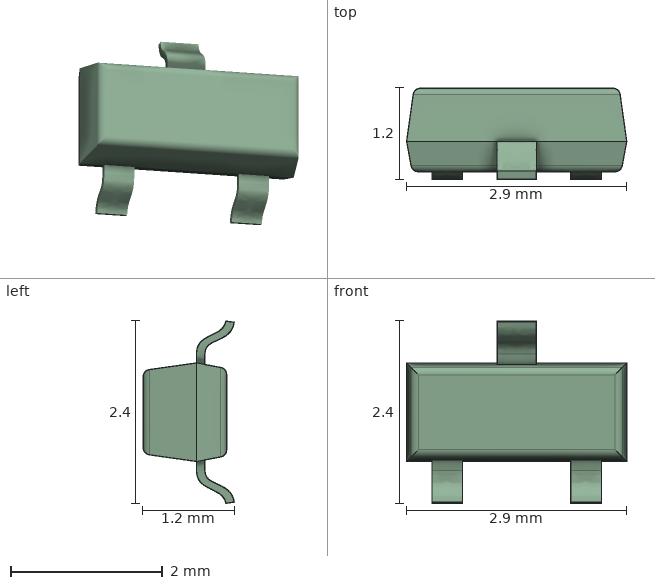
import cadquery as cq
import math

BODY_LENGTH = 2.9
BODY_HEIGHT = 1.3
BACK_DEPTH = 0.702
FRONT_DEPTH = 0.4
BACK_DRAFT = 8.0
FRONT_DRAFT = 10.5
EDGE_RADIUS = 0.102

LEAD_THICKNESS = 0.113
LEAD_REACH_Y = 0.5
LEAD_REACH_Z = 1.2
BEND_START_Z = 0.765
REAR_MIDDLE = (-0.21, 1.02)
FRONT_MIDDLE = (-0.295, 0.955)
TIP_TILT = 8.0
UPPER_LEAD_WIDTH = 0.515
LOWER_LEAD_WIDTH = 0.405
LOWER_LEAD_X = 0.914


def make_package():
    """Tapered package with rounded edges around its front and back faces."""
    front = cq.Workplane("XZ").rect(BODY_LENGTH, BODY_HEIGHT).extrude(FRONT_DEPTH, taper=FRONT_DRAFT)
    back = cq.Workplane("ZX").rect(BODY_HEIGHT, BODY_LENGTH).extrude(BACK_DEPTH, taper=BACK_DRAFT)
    package = front.union(back)
    return package.faces("<Y or >Y").edges().fillet(EDGE_RADIUS)


def make_upward_lead(width, center_x):
    """Lead rising from the package's top face, with its front and rear each one S-shaped curve."""
    tilt = math.radians(TIP_TILT)

    rear_start = (0, BEND_START_Z)
    front_start = (-LEAD_THICKNESS, BEND_START_Z)

    rear_tip = (LEAD_THICKNESS * math.cos(tilt) - LEAD_REACH_Y, LEAD_REACH_Z)
    front_tip = (-LEAD_REACH_Y, LEAD_REACH_Z - LEAD_THICKNESS * math.sin(tilt))
    up = (0, 1)
    down = (0, -1)
    tip_outward = (-math.sin(tilt), math.cos(tilt))
    tip_inward = (math.sin(tilt), -math.cos(tilt))

    root_z = BODY_HEIGHT / 2
    front_root_z = root_z - LEAD_THICKNESS * math.tan(math.radians(FRONT_DRAFT))

    return (
        cq.Workplane("YZ", origin=(center_x - width / 2, 0, 0))
        .moveTo(0, root_z)
        .lineTo(*rear_start)
        .spline([rear_start, REAR_MIDDLE, rear_tip], tangents=[up, tip_outward])
        .lineTo(*front_tip)
        .spline([front_tip, FRONT_MIDDLE, front_start], tangents=[tip_inward, down])
        .lineTo(-LEAD_THICKNESS, front_root_z)
        .close()
        .extrude(width)
    )


def make_downward_lead(width, center_x):
    """The same bent strip hanging from the package's bottom face."""
    return make_upward_lead(width, center_x).mirror("XY")


package = make_package()
upper_lead = make_upward_lead(UPPER_LEAD_WIDTH, 0)
lower_leads = [make_downward_lead(LOWER_LEAD_WIDTH, side * LOWER_LEAD_X) for side in (-1, 1)]

result = cq.Compound.makeCompound(
    [package.val(), upper_lead.val(), *[lead.val() for lead in lower_leads]]
)